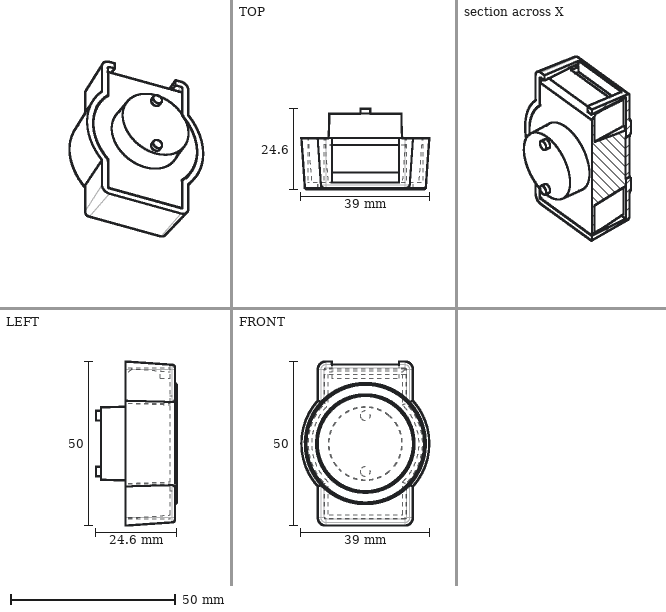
import cadquery as cq
import math


block_width = 29.0
block_height = 50.0
corner_radius = 2.5
round_radius = 19.5
draft = 4.0
block_depth = 15.1
front_edge_fillet = 1.0

rim_height = 0.5
rim_chamfer = rim_height
window_radius = 14.5
overall_depth = block_depth + rim_height

wall = 2.0
front_wall = 1.6
cavity_depth = block_depth - front_wall
opening_width = 20.4

insert_inset = 2.15
insert_draft = 4.5
insert_chamfer_run = 2.0
insert_chamfer_drop = 1.7
notch_length = 3.0
notch_depth = 3.0
boss_base_radius = 11.25
boss_end_radius = 11.05
boss_length = 7.5
pin_radius = 1.5
pin_length = 1.5
pin_spacing = 17.0

FRONT = cq.Vector(0, -1, 0)
BACK = cq.Vector(0, 1, 0)


def drafted_block(inset, depth, angle):
    """Rounded block, inset from the cover outline, narrowing from the back to the front by the angle."""
    return (
        cq.Workplane("XZ")
        .sketch()
        .rect(block_width - 2 * inset, block_height - 2 * inset)
        .vertices()
        .fillet(corner_radius - inset)
        .finalize()
        .extrude(depth, taper=angle)
    )


def drafted_round(inset, depth, angle):
    """Round solid, inset from the cover outline, narrowing from the back to the front by the angle."""
    back_radius = round_radius - inset
    if angle == 0:
        return cq.Workplane("XZ").circle(back_radius).extrude(depth)
    front_radius = back_radius - depth * math.tan(math.radians(angle))
    return cq.Workplane(cq.Solid.makeCone(back_radius, front_radius, depth, cq.Vector(0, 0, 0), FRONT))


def inner_shape(inset, angle):
    """Crossed block and round that reach from the open back to the front wall."""
    block = drafted_block(inset, cavity_depth, angle)
    return block.union(drafted_round(inset, cavity_depth, angle))


def window_recess():
    """Conical recess inside the rim, widening towards the front."""
    floor_centre = cq.Vector(0, -block_depth, 0)
    return cq.Solid.makeCone(window_radius, window_radius + rim_height, rim_height, floor_centre, FRONT)


def window_disc():
    """Flat disc that closes the round hole in the front wall."""
    return cq.Workplane("XZ", origin=(0, -cavity_depth, 0)).circle(window_radius).extrude(front_wall)


def top_opening():
    """Cut through the top wall, open at the back and down to the front wall."""
    return cq.Workplane("XY").rect(opening_width, 2 * cavity_depth).extrude(block_height)


def make_cover():
    block = drafted_block(0, block_depth, draft).faces("<Y").edges().fillet(front_edge_fillet)
    round_part = drafted_round(0, overall_depth, draft).faces("<Y").edges().chamfer(rim_chamfer)
    return (
        block.union(round_part)
        .cut(inner_shape(wall, 0))
        .cut(cq.Workplane(window_recess()))
        .cut(window_disc())
        .cut(top_opening())
    )


def make_insert():
    top = block_height / 2 - insert_inset
    ridge = top - insert_chamfer_run * math.tan(math.radians(insert_draft))
    chamfer_cut = (
        cq.Workplane("YZ")
        .moveTo(-insert_chamfer_run, ridge)
        .lineTo(-insert_chamfer_run, block_height)
        .lineTo(0, block_height)
        .lineTo(0, ridge - insert_chamfer_drop)
        .close()
        .extrude(block_width / 2, both=True)
    )
    notch = cq.Workplane("XY").box(opening_width, notch_length, 2 * notch_depth).translate(
        (0, -cavity_depth + notch_length / 2, top)
    )
    boss = cq.Solid.makeCone(boss_base_radius, boss_end_radius, boss_length, cq.Vector(0, 0, 0), BACK)
    insert = inner_shape(insert_inset, insert_draft).cut(chamfer_cut).cut(notch).union(cq.Workplane(boss))
    for side in (-1, 1):
        pin_base = cq.Vector(0, boss_length, side * pin_spacing / 2)
        pin = cq.Solid.makeCylinder(pin_radius, pin_length, pin_base, BACK)
        insert = insert.union(cq.Workplane(pin))
    return insert


cover = make_cover()
insert = make_insert()
window = window_disc()

result = cq.Compound.makeCompound([cover.val(), insert.val(), window.val()])